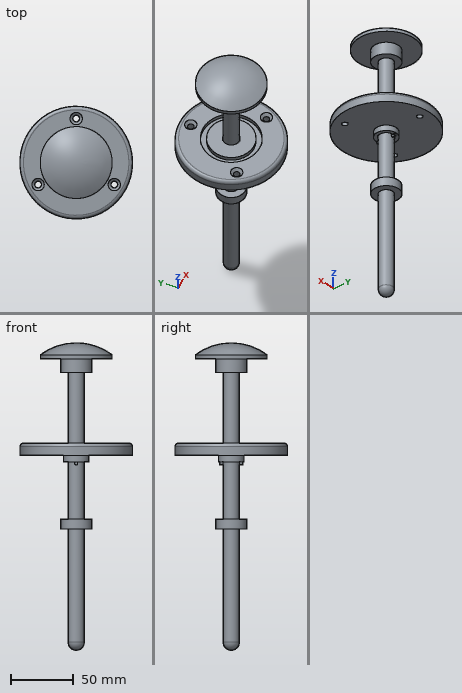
import cadquery as cq
import math

total_length = 245.0
top_z = total_length / 2
bottom_z = -total_length / 2
rod_diameter = 13.0
rod_radius = rod_diameter / 2
head_diameter = 57.3
dome_height = 9.5
head_rim_height = 3.2
hub_diameter = 25.0
hub_length = 11.0

plate_diameter = 90.0
plate_thickness = 9.8
plate_edge_fillet = 3.0
plate_depth = 79.9
plate_top_z = top_z - plate_depth
plate_bottom_z = plate_top_z - plate_thickness
bore_diameter = 14.0
groove_outer_diameter = 49.2
groove_inner_diameter = 39.5
groove_depth = 3.5
boss_diameter = 20.3
boss_length = 5.1
boss_bottom_z = plate_bottom_z - boss_length

pin_diameter = 2.5
pin_length = 18.5
pin_axis_z = boss_bottom_z - pin_diameter / 2

screw_count = 3
screw_start_angle = 90.0
screw_circle_radius = 35.0
screw_hole_diameter = 5.1
screw_head_diameter = 9.8
screw_sink_angle = 90.0

collar_diameter = hub_diameter
collar_thickness = 8.0
collar_depth = 140.5
collar_top_z = top_z - collar_depth


def cylinder(diameter, z_low, height):
    """Solid cylinder on the Z axis, standing on z_low."""
    return cq.Workplane("XY").workplane(offset=z_low).circle(diameter / 2).extrude(height)


def make_plunger():
    """Knob, hub, rod and stop collar, revolved as one profile."""
    head_radius = head_diameter / 2
    hub_radius = hub_diameter / 2
    dome_base_z = top_z - dome_height
    head_bottom_z = dome_base_z - head_rim_height
    hub_bottom_z = head_bottom_z - hub_length
    collar_radius = collar_diameter / 2
    collar_bottom_z = collar_top_z - collar_thickness
    tip_base_z = bottom_z + rod_radius

    dome_radius = (head_radius**2 + dome_height**2) / (2 * dome_height)
    half_angle = math.asin(head_radius / dome_radius) / 2
    dome_mid = (
        dome_radius * math.sin(half_angle),
        top_z - dome_radius * (1 - math.cos(half_angle)),
    )
    tip_offset = rod_radius * math.sqrt(0.5)

    return (
        cq.Workplane("XZ")
        .moveTo(0, top_z)
        .threePointArc(dome_mid, (head_radius, dome_base_z))
        .lineTo(head_radius, head_bottom_z)
        .lineTo(hub_radius, head_bottom_z)
        .lineTo(hub_radius, hub_bottom_z)
        .lineTo(rod_radius, hub_bottom_z)
        .lineTo(rod_radius, collar_top_z)
        .lineTo(collar_radius, collar_top_z)
        .lineTo(collar_radius, collar_bottom_z)
        .lineTo(rod_radius, collar_bottom_z)
        .lineTo(rod_radius, tip_base_z)
        .threePointArc((tip_offset, tip_base_z - tip_offset), (0, bottom_z))
        .close()
        .revolve(360, (0, 0, 0), (0, 1, 0))
    )


def make_plate():
    """Round plate with a ring groove, boss, clearance bore and screw holes."""
    plate = cylinder(plate_diameter, plate_bottom_z, plate_thickness)
    plate = plate.faces(">Z").edges().fillet(plate_edge_fillet)

    groove = (
        cq.Workplane("XY")
        .workplane(offset=plate_top_z - groove_depth)
        .circle(groove_outer_diameter / 2)
        .circle(groove_inner_diameter / 2)
        .extrude(groove_depth)
    )
    plate = plate.cut(groove)

    plate = (
        plate.faces(">Z")
        .workplane(origin=(0, 0, plate_top_z))
        .polarArray(screw_circle_radius, screw_start_angle, 360, screw_count)
        .cskHole(screw_hole_diameter, screw_head_diameter, screw_sink_angle)
    )

    boss = cylinder(boss_diameter, boss_bottom_z, boss_length)
    bore = cylinder(bore_diameter, boss_bottom_z, boss_length + plate_thickness)
    return plate.union(boss).cut(bore)


def make_pin():
    """Round cross pin centred on the rod, along Y."""
    return (
        cq.Workplane("XZ", origin=(0, 0, pin_axis_z))
        .circle(pin_diameter / 2)
        .extrude(pin_length / 2, both=True)
    )


pin = make_pin()
plunger = make_plunger().cut(pin)
plate = make_plate()

result = cq.Compound.makeCompound([plunger.val(), plate.val(), pin.val()])